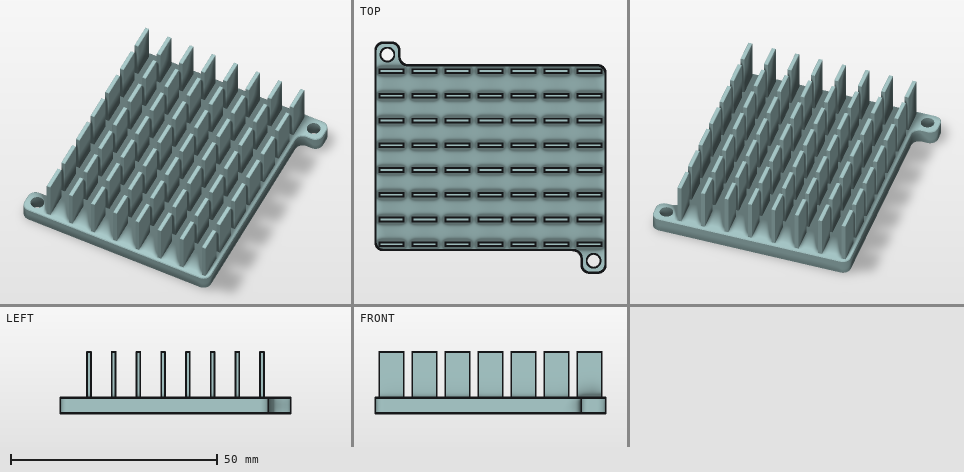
import cadquery as cq


base_length = 56.0
base_width = 45.0
base_thickness = 4.0
corner_radius = 2.0
rim_chamfer = 0.195

overall_width = 56.0
ear_width = 6.0
ear_hole_diameter = 3.3
ear_hole_inset = ear_width / 2

overall_height = 15.0
fin_columns = 7
fin_rows = 8
fin_length = 6.0
fin_thickness = 1.0
fin_margin = 1.0
fin_top_chamfer = 0.1

fin_height = overall_height - base_thickness
fin_pitch_x = (base_length - 2 * fin_margin - fin_length) / (fin_columns - 1)
fin_pitch_y = (base_width - 2 * fin_margin - fin_thickness) / (fin_rows - 1)


def make_base():
    """Plate with both ears; all outline corners are rounded and both rims are chamfered."""
    half_length = base_length / 2
    half_width = base_width / 2
    ear_end = overall_width / 2
    ear_side = half_length - ear_width
    outline = [
        (-half_length, -half_width),
        (ear_side, -half_width),
        (ear_side, -ear_end),
        (half_length, -ear_end),
        (half_length, half_width),
        (-ear_side, half_width),
        (-ear_side, ear_end),
        (-half_length, ear_end),
    ]
    plate = cq.Workplane("XY").polyline(outline).close().extrude(base_thickness)
    plate = plate.edges("|Z").fillet(corner_radius)
    return plate.faces("<Z or >Z").edges().chamfer(rim_chamfer)


def make_ear_holes():
    """Through-hole cutters, one in each ear."""
    hole_x = base_length / 2 - ear_hole_inset
    hole_y = overall_width / 2 - ear_hole_inset
    centres = [(-hole_x, hole_y), (hole_x, -hole_y)]
    cutters = cq.Workplane("XY").pushPoints(centres)
    return cutters.circle(ear_hole_diameter / 2).extrude(base_thickness)


def make_fins():
    """Evenly spaced grid of fins on top of the base, with chamfered upper edges."""
    base_top = cq.Workplane("XY", origin=(0, 0, base_thickness))
    grid = base_top.rarray(fin_pitch_x, fin_pitch_y, fin_columns, fin_rows)
    fins = grid.rect(fin_length, fin_thickness).extrude(fin_height)
    return fins.faces(">Z").edges().chamfer(fin_top_chamfer)


result = make_base().union(make_fins()).cut(make_ear_holes())